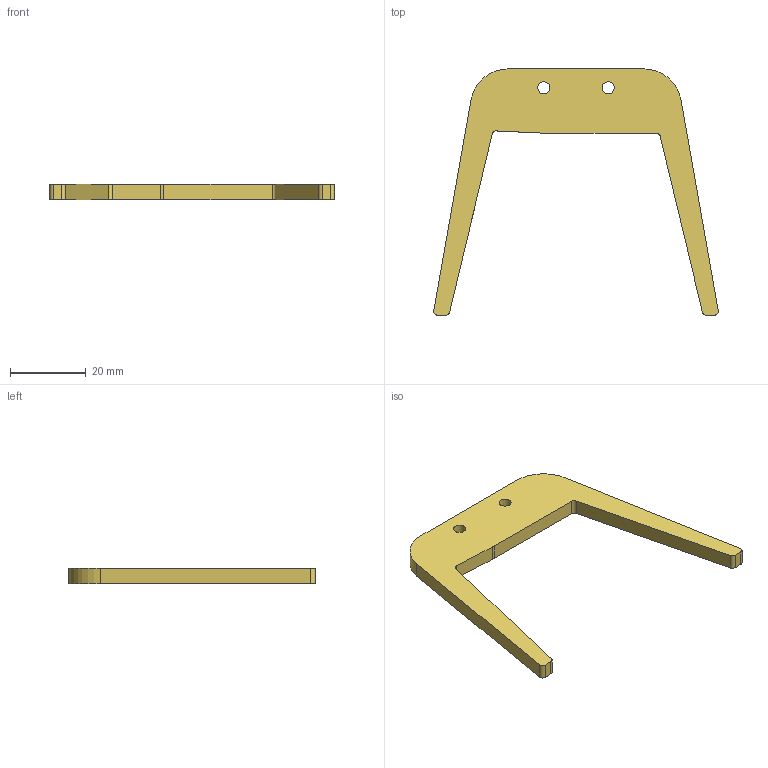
import cadquery as cq
import math

thickness = 4.0
overall_width = 75.13
overall_depth = 65.0

outer_splay = math.radians(10.0)
shoulder_radius = 10.0
tip_radius = 1.0

inner_splay = math.radians(13.5)
tip_flat = 2.2
opening_radius = 1.0
crossbar_edge_y = 48.0
flat_end_x = -7.5
bend_width = 0.8
left_edge_slope = math.radians(2.7)

hole_diameter = 3.2
hole_spacing = 17.0
hole_y = 60.0

outer_round_x = overall_width / 2 - tip_radius
outer_tip_x = outer_round_x + tip_radius * math.tan(math.pi / 4 + outer_splay / 2)
outer_top_x = outer_tip_x - overall_depth * math.tan(outer_splay)

inner_round_x = outer_round_x - tip_flat
inner_tip_x = inner_round_x - tip_radius * math.tan(math.pi / 4 - inner_splay / 2)
right_corner_x = inner_tip_x - crossbar_edge_y * math.tan(inner_splay)

bend_x = flat_end_x - bend_width / 2
rise = math.tan(left_edge_slope)
lean = math.tan(inner_splay)
left_corner_x = (-inner_tip_x + lean * (crossbar_edge_y + rise * bend_x)) / (1 + lean * rise)
left_corner_y = crossbar_edge_y + rise * (bend_x - left_corner_x)
bend_end_x = bend_x - bend_width / 2 * math.cos(left_edge_slope)
bend_end_y = crossbar_edge_y + bend_width / 2 * math.sin(left_edge_slope)


def round_corners(body, radius, corners):
    """Round the upright edges that stand on the given (x, y) corners."""
    for x, y in corners:
        edge = cq.selectors.NearestToPointSelector((x, y, thickness / 2))
        body = body.edges("|Z").edges(edge).fillet(radius)
    return body


def make_frame():
    shoulders = [(-outer_top_x, overall_depth), (outer_top_x, overall_depth)]
    tips = [(side * x, 0) for side in (-1, 1) for x in (outer_tip_x, inner_tip_x)]
    opening = [(left_corner_x, left_corner_y), (right_corner_x, crossbar_edge_y)]
    frame = (
        cq.Workplane("XY")
        .moveTo(-inner_tip_x, 0)
        .lineTo(-outer_tip_x, 0)
        .lineTo(*shoulders[0])
        .lineTo(*shoulders[1])
        .lineTo(outer_tip_x, 0)
        .lineTo(inner_tip_x, 0)
        .lineTo(*opening[1])
        .lineTo(flat_end_x, crossbar_edge_y)
        .tangentArcPoint((bend_end_x, bend_end_y), relative=False)
        .lineTo(*opening[0])
        .close()
        .extrude(thickness)
    )
    frame = round_corners(frame, shoulder_radius, shoulders)
    frame = round_corners(frame, tip_radius, tips)
    return round_corners(frame, opening_radius, opening)


def make_holes():
    centres = [(-hole_spacing / 2, hole_y), (hole_spacing / 2, hole_y)]
    return cq.Workplane("XY").pushPoints(centres).circle(hole_diameter / 2).extrude(thickness)


result = make_frame().cut(make_holes())